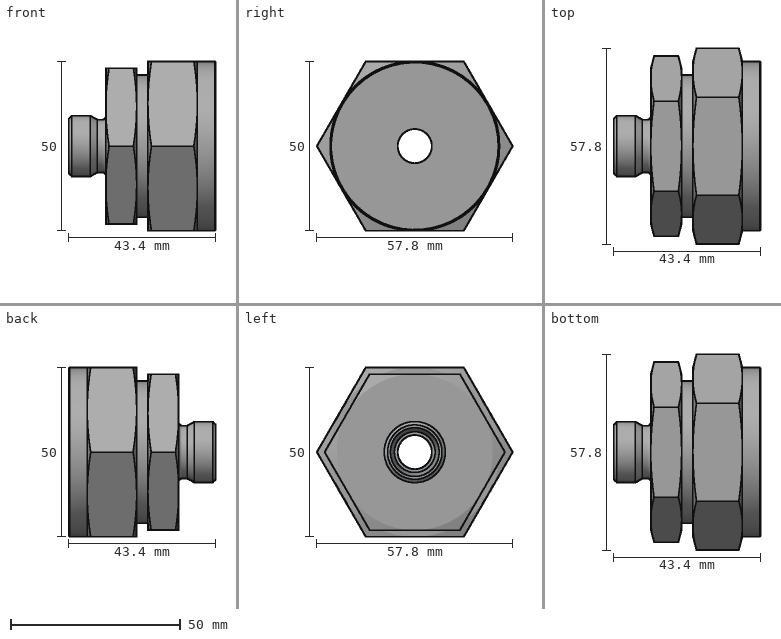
import cadquery as cq
import math


large_hex_corners = 57.75
large_hex_flats = large_hex_corners * math.cos(math.radians(30))
small_hex_flats = 46.0
hex_chamfer_angle = 15.0

spigot_length = 10.95
small_hex_length = 9.05
collar_length = 3.35
large_hex_length = 14.55
end_disc_length = 5.5

spigot_diameter = 18.0
spigot_chamfer = 1.0
spigot_land_end = 6.4
neck_diameter = 15.65
neck_start = 8.5
neck_fillet = 1.0

collar_diameter = 42.0
end_disc_diameter = large_hex_flats
end_disc_chamfer = 0.4

bore_diameter = 10.0
seat_diameter = 12.0
seat_depth = 7.0
cone_mouth_diameter = 14.4
cone_half_angle = 12.0

small_hex_start = spigot_length
collar_start = small_hex_start + small_hex_length
large_hex_start = collar_start + collar_length
end_disc_start = large_hex_start + large_hex_length
total_length = end_disc_start + end_disc_length


def revolve_about_x(profile):
    return profile.close().revolve(360, (0, 0, 0), (1, 0, 0))


def cylinder(start, length, diameter):
    return cq.Workplane("YZ", origin=(start, 0, 0)).circle(diameter / 2).extrude(length)


def chamfered_hexagon(start, length, flats):
    """Hexagonal prism with its corners turned back by a shallow cone at both ends."""
    corner_radius = flats / 2 / math.cos(math.radians(30))
    face_radius = flats / 2
    chamfer_depth = (corner_radius - face_radius) * math.tan(math.radians(hex_chamfer_angle))
    end = start + length
    prism = cq.Workplane("YZ", origin=(start, 0, 0)).polygon(6, 2 * corner_radius).extrude(length)
    turned_blank = revolve_about_x(
        cq.Workplane("XY")
        .moveTo(start, 0)
        .lineTo(start, face_radius)
        .lineTo(start + chamfer_depth, corner_radius)
        .lineTo(end - chamfer_depth, corner_radius)
        .lineTo(end, face_radius)
        .lineTo(end, 0)
    )
    return prism.intersect(turned_blank)


def spigot():
    """Chamfered spigot with a tapered undercut that flares into the small hexagon."""
    radius = spigot_diameter / 2
    neck_radius = neck_diameter / 2
    fillet_start = small_hex_start - neck_fillet
    fillet_middle = (
        small_hex_start - neck_fillet * (1 - math.sin(math.radians(45))),
        neck_radius + neck_fillet * (1 - math.cos(math.radians(45))),
    )
    return revolve_about_x(
        cq.Workplane("XY")
        .moveTo(0, 0)
        .lineTo(0, radius - spigot_chamfer)
        .lineTo(spigot_chamfer, radius)
        .lineTo(spigot_land_end, radius)
        .lineTo(neck_start, neck_radius)
        .lineTo(fillet_start, neck_radius)
        .threePointArc(fillet_middle, (small_hex_start, neck_radius + neck_fillet))
        .lineTo(small_hex_start, 0)
    )


def tube_socket():
    """Void of the conical mouth, the cylindrical tube seat and the through bore."""
    cone_depth = (cone_mouth_diameter - seat_diameter) / 2 / math.tan(math.radians(cone_half_angle))
    return revolve_about_x(
        cq.Workplane("XY")
        .moveTo(0, 0)
        .lineTo(0, cone_mouth_diameter / 2)
        .lineTo(cone_depth, seat_diameter / 2)
        .lineTo(seat_depth, seat_diameter / 2)
        .lineTo(seat_depth, bore_diameter / 2)
        .lineTo(total_length, bore_diameter / 2)
        .lineTo(total_length, 0)
    )


small_hex = chamfered_hexagon(small_hex_start, small_hex_length, small_hex_flats)
collar = cylinder(collar_start, collar_length, collar_diameter)
large_hex = chamfered_hexagon(large_hex_start, large_hex_length, large_hex_flats)
end_disc = cylinder(end_disc_start, end_disc_length, end_disc_diameter)
end_disc = end_disc.faces(">X").chamfer(end_disc_chamfer)

body = spigot().union(small_hex).union(collar).union(large_hex).union(end_disc)
result = body.cut(tube_socket())